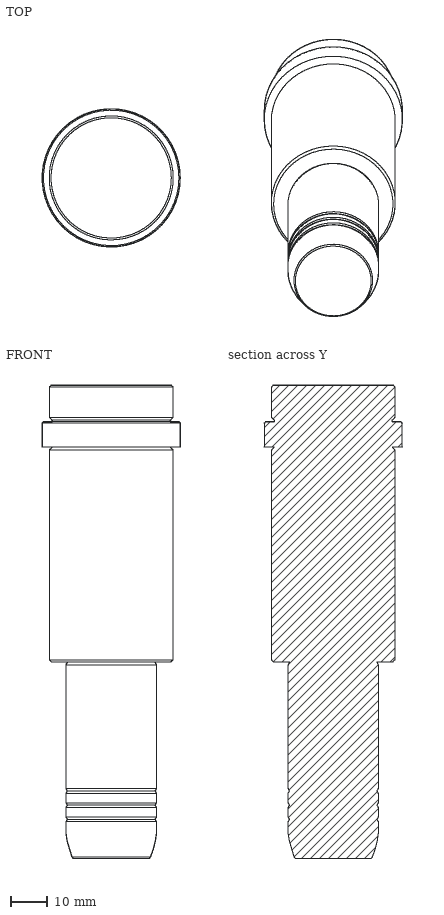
import cadquery as cq

length = 130.0
body_radius = 17.0
flange_radius = 19.0
stem_radius = 12.5
tip_radius = 10.8

flange_top = length - 10.0
flange_bottom = length - 17.0
body_bottom = length - 76.0
nose_height = 7.0

body_chamfer = 0.6
top_chamfer = 0.5
flange_chamfer = 0.4
relief_depth = 0.8
relief_height = 0.4
stem_shoulder_inset = 0.4
stem_shoulder_height = 0.8
tip_chamfer = 0.4
nose_bulge = 0.3

groove_count = 3
lowest_groove = 10.1
groove_pitch = 3.9
groove_width = 1.3
groove_depth = 0.4


def make_shaft():
    """Revolve the stepped outline around the Z axis."""
    neck_radius = body_radius - relief_depth
    nose_middle = ((tip_radius + stem_radius) / 2 + nose_bulge, (tip_chamfer + nose_height) / 2)
    outline = (
        cq.Workplane("XZ")
        .moveTo(0, 0)
        .lineTo(tip_radius - tip_chamfer, 0)
        .lineTo(tip_radius, tip_chamfer)
        .threePointArc(nose_middle, (stem_radius, nose_height))
        .lineTo(stem_radius, body_bottom - stem_shoulder_height)
        .lineTo(stem_radius - stem_shoulder_inset, body_bottom)
        .lineTo(body_radius - body_chamfer, body_bottom)
        .lineTo(body_radius, body_bottom + body_chamfer)
        .lineTo(body_radius, flange_bottom - relief_depth)
        .lineTo(neck_radius, flange_bottom)
        .lineTo(flange_radius, flange_bottom)
        .lineTo(flange_radius, flange_top - flange_chamfer)
        .lineTo(flange_radius - flange_chamfer, flange_top)
        .lineTo(neck_radius, flange_top)
        .lineTo(neck_radius, flange_top + relief_height)
        .lineTo(body_radius, flange_top + relief_height + relief_depth)
        .lineTo(body_radius, length - top_chamfer)
        .lineTo(body_radius - top_chamfer, length)
        .lineTo(0, length)
        .close()
    )
    return outline.revolve(360, (0, 0, 0), (0, 1, 0))


def make_groove(bottom):
    """Ring that cuts a shallow V groove into the stem."""
    middle = bottom + groove_width / 2
    outline = (
        cq.Workplane("XZ")
        .moveTo(stem_radius, bottom)
        .lineTo(stem_radius - groove_depth, middle)
        .lineTo(stem_radius, bottom + groove_width)
        .close()
    )
    return outline.revolve(360, (0, 0, 0), (0, 1, 0))


result = make_shaft()
for index in range(groove_count):
    result = result.cut(make_groove(lowest_groove + index * groove_pitch))